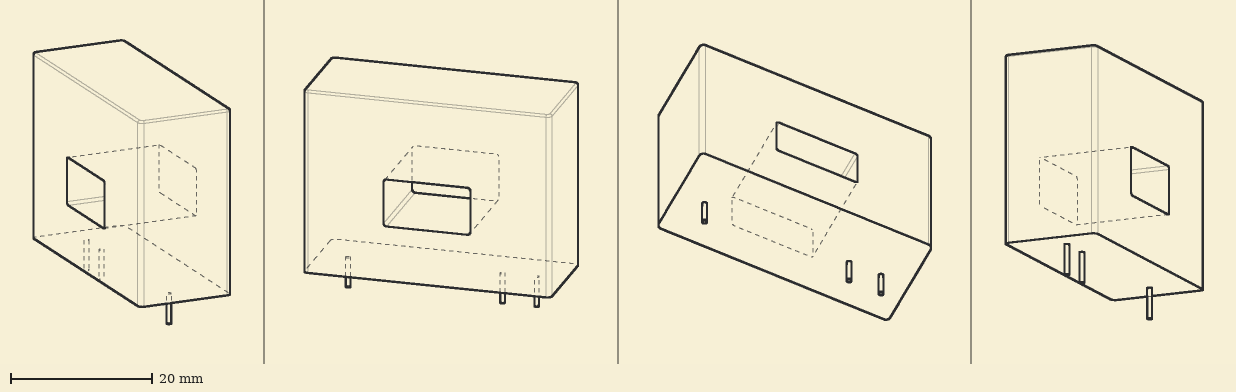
import cadquery as cq

housing_length = 36.6
housing_depth = 14.35
overall_height = 32.1
pin_length = 4.5
housing_height = overall_height - pin_length
corner_radius = 0.7
top_edge_radius = 0.33

window_length = 12.8
window_height = 7.1
window_center_z = 11.82
window_corner_radius = 0.45

pin_diameter = 0.7
pin_tip_chamfer = 0.07
outer_pin_x = 13.95
inner_pin_x = -8.9
pin_row_y = -0.62
pin_x_positions = (-outer_pin_x, inner_pin_x, outer_pin_x)


def make_window():
    """Rounded rectangular bar that cuts the window."""
    return (
        cq.Workplane("XY")
        .box(window_length, housing_depth, window_height)
        .edges("|Y")
        .fillet(window_corner_radius)
        .translate((0, 0, window_center_z))
    )


def make_housing():
    """Block with rounded upright corners, a rounded top rim and the window."""
    block = (
        cq.Workplane("XY")
        .box(housing_length, housing_depth, housing_height, centered=(True, True, False))
        .edges("|Z")
        .fillet(corner_radius)
        .faces(">Z")
        .edges()
        .fillet(top_edge_radius)
    )
    return block.cut(make_window())


def make_pin(x):
    """Round pin with a chamfered tip, hanging from the underside of the housing."""
    return (
        cq.Workplane("XY")
        .center(x, pin_row_y)
        .circle(pin_diameter / 2)
        .extrude(-pin_length)
        .faces("<Z")
        .chamfer(pin_tip_chamfer)
    )


housing = make_housing()
pins = [make_pin(x) for x in pin_x_positions]

result = cq.Compound.makeCompound([housing.val(), *[pin.val() for pin in pins]])